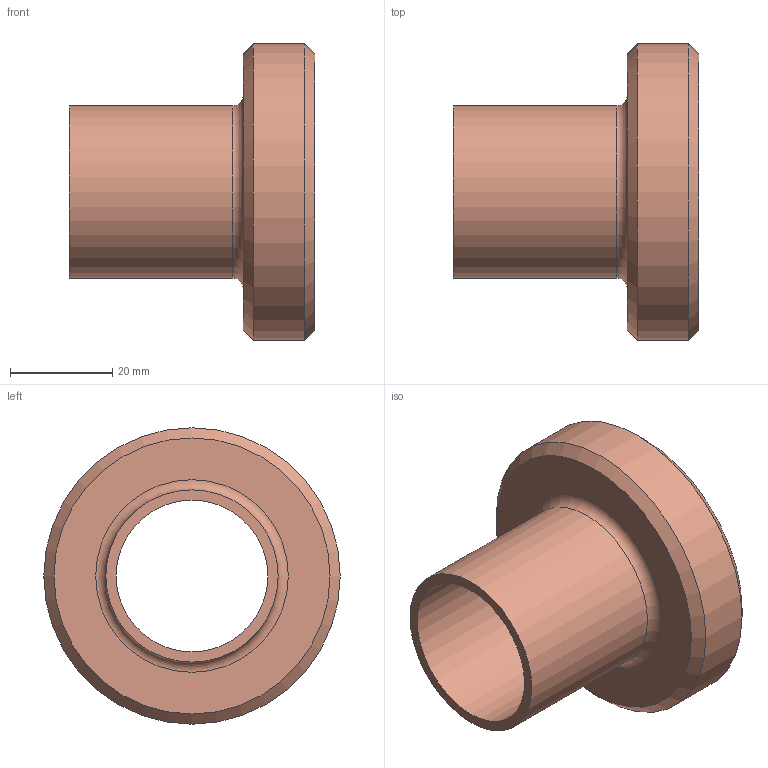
import cadquery as cq

total_length = 48.0
bore_diameter = 29.7
tube_diameter = 33.7
flange_diameter = 58.0
flange_thickness = 14.0
flange_chamfer = 2.0
root_fillet = 2.0

tube_length = total_length - flange_thickness


def disc_along_x(diameter, start_x, length):
    """Solid cylinder on the X axis, running from start_x towards +X."""
    return cq.Workplane("YZ", origin=(start_x, 0, 0)).circle(diameter / 2).extrude(length)


def make_flange():
    """Flange disc with both outer rims chamfered."""
    disc = disc_along_x(flange_diameter, tube_length, flange_thickness)
    return disc.faces("<X or >X").edges().chamfer(flange_chamfer)


def make_root_fillet_ring():
    """Ring with a concave quarter-round section that blends the tube into the flange face."""
    tube_radius = tube_diameter / 2
    bore_radius = bore_diameter / 2
    fillet_start_x = tube_length - root_fillet
    fillet_top_radius = tube_radius + root_fillet
    diagonal = root_fillet / 2**0.5
    section = (
        cq.Workplane("XY")
        .moveTo(fillet_start_x, bore_radius)
        .lineTo(fillet_start_x, tube_radius)
        .threePointArc(
            (fillet_start_x + diagonal, fillet_top_radius - diagonal),
            (tube_length, fillet_top_radius),
        )
        .lineTo(tube_length, bore_radius)
        .close()
    )
    return section.revolve(360, (0, 0, 0), (1, 0, 0))


tube = disc_along_x(tube_diameter, 0, tube_length)
bore = disc_along_x(bore_diameter, 0, total_length)
result = tube.union(make_flange()).union(make_root_fillet_ring()).cut(bore)